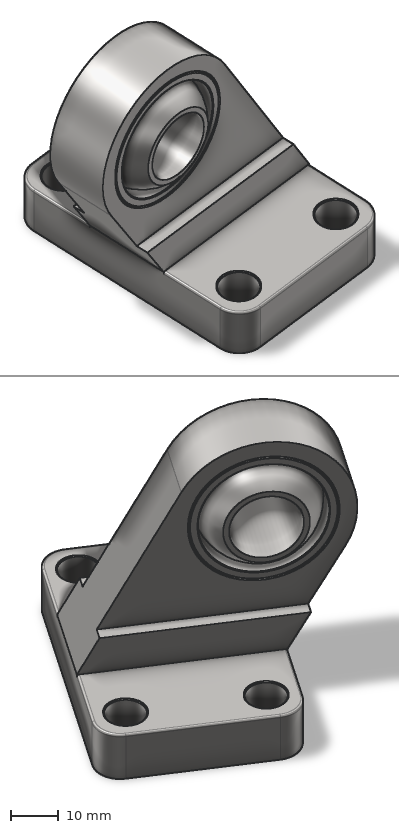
import cadquery as cq
import math

base_length = 65.0
base_width = 45.0
base_height = 12.0
corner_radius = 6.0
base_edge_radius = 0.5

hole_diameter = 9.0
hole_spacing_x = 50.0
hole_spacing_y = 30.0
hole_chamfer = 0.25

arm_thickness = 15.0
foot_thickness = 21.0
foot_top = 21.0
eye_radius = 20.0
eye_y = -18.0
eye_z = 45.0

ball_diameter = 28.0
ball_width = foot_thickness
ball_bore = 16.0

seat_diameter = ball_diameter
seat_chamfer = 0.2
groove_diameter = 32.0
groove_depth = 0.25


def tangent_point(start_y, start_z, side):
    """Point where a line from the start touches the eye; side is +1 for the +Y flank, -1 for the -Y one."""
    away_y = start_y - eye_y
    away_z = start_z - eye_z
    distance = math.hypot(away_y, away_z)
    angle = math.atan2(away_z, away_y) + side * math.acos(eye_radius / distance)
    return eye_y + eye_radius * math.cos(angle), eye_z + eye_radius * math.sin(angle)


def make_base():
    return (
        cq.Workplane("XY")
        .box(base_length, base_width, base_height, centered=(True, True, False))
        .edges("|Z").fillet(corner_radius)
        .faces("<Z or >Z").edges().fillet(base_edge_radius)
        .faces(">Z").workplane(origin=(0, 0, base_height))
        .rarray(hole_spacing_x, hole_spacing_y, 2, 2)
        .cskHole(hole_diameter, hole_diameter + 2 * hole_chamfer, 90)
    )


def make_arm(thickness):
    """Side outline of the arm: both flanks rise from the base edges and run tangent into the eye."""
    half_width = base_width / 2
    root_z = base_height - base_edge_radius
    back = tangent_point(half_width, base_height, 1)
    front = tangent_point(-half_width, base_height, -1)
    crown = (eye_y, eye_z + eye_radius)
    return (
        cq.Workplane("YZ")
        .moveTo(-half_width, root_z)
        .lineTo(half_width, root_z)
        .lineTo(half_width, base_height)
        .lineTo(*back)
        .threePointArc(crown, front)
        .lineTo(-half_width, base_height)
        .close()
        .extrude(thickness / 2, both=True)
    )


def make_foot():
    """Lower stretch of the arm outline, made thicker."""
    keep = cq.Workplane("XY").box(
        foot_thickness, 2 * base_width, foot_top, centered=(True, True, False)
    )
    return make_arm(foot_thickness).intersect(keep)


def make_groove():
    """Ring with a V section, cut into the -X face of the eye."""
    face_x = -arm_thickness / 2
    radius = groove_diameter / 2
    profile = [
        (face_x, radius - groove_depth),
        (face_x, radius + groove_depth),
        (face_x + groove_depth, radius),
    ]
    ring = cq.Workplane("XY").polyline(profile).close().revolve(360, (0, 0, 0), (1, 0, 0))
    return ring.translate((0, eye_y, eye_z))


def make_seat():
    """Bore through the eye, flared at both mouths."""
    face_x = arm_thickness / 2
    radius = seat_diameter / 2
    profile = [
        (-face_x, 0),
        (-face_x, radius + seat_chamfer),
        (-face_x + seat_chamfer, radius),
        (face_x - seat_chamfer, radius),
        (face_x, radius + seat_chamfer),
        (face_x, 0),
    ]
    seat = cq.Workplane("XY").polyline(profile).close().revolve(360, (0, 0, 0), (1, 0, 0))
    return seat.translate((0, eye_y, eye_z))


def make_bracket():
    groove = make_groove()
    return (
        make_base()
        .union(make_arm(arm_thickness))
        .union(make_foot())
        .cut(make_seat())
        .cut(groove)
        .cut(groove.mirror("YZ"))
    )


def make_ball():
    """Sphere with flat sides and a bore along X."""
    half_width = ball_width / 2
    bore_radius = ball_bore / 2
    side_radius = math.sqrt((ball_diameter / 2) ** 2 - half_width**2)
    ball = (
        cq.Workplane("XY")
        .moveTo(-half_width, bore_radius)
        .lineTo(-half_width, side_radius)
        .threePointArc((0, ball_diameter / 2), (half_width, side_radius))
        .lineTo(half_width, bore_radius)
        .close()
        .revolve(360, (0, 0, 0), (1, 0, 0))
    )
    return ball.translate((0, eye_y, eye_z))


bracket = make_bracket()
ball = make_ball()
result = cq.Compound.makeCompound([bracket.val(), ball.val()])